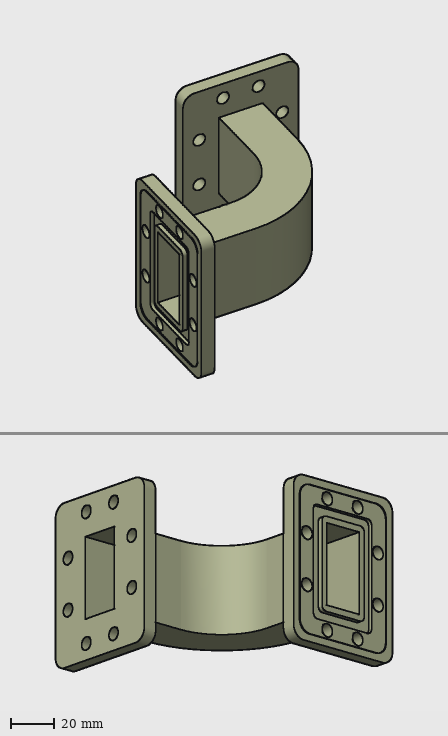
import cadquery as cq

overall_length = 111.0
flange_height = 81.0
flange_width = 61.8
flange_thickness = 7.1
flange_corner_radius = 6.2

bore_width = 20.2
bore_height = 40.4
wall_thickness = 1.61
tube_width = bore_width + 2 * wall_thickness
tube_height = bore_height + 2 * wall_thickness

axis_offset = overall_length - flange_width / 2
bend_radius = 39.9
straight_length = axis_offset - bend_radius

hole_diameter = 6.4
end_pair_spacing = 19.0
end_pair_height = 32.3
side_pair_spacing = 25.5
side_pair_offset = 22.2

recess_depth = 0.4
recess_size = (53.8, 73.2)
recess_corner_radius = 6.2
groove_depth = 2.5
groove_size = (36.4, 56.1)
rim_size = (26.4, 46.7)
groove_corner_radius = 2.7

sealing_face = cq.Plane(origin=(axis_offset, 0, 0), xDir=(-1, 0, 0), normal=(0, 1, 0))
plain_face = cq.Plane(origin=(0, axis_offset, 0), xDir=(0, 1, 0), normal=(1, 0, 0))


def rounded_block(plane, width, height, depth, corner_radius):
    """Plate with rounded corners, extruded from the plane into the part."""
    plate = cq.Workplane(plane).rect(width, height).extrude(depth)
    return plate.edges(cq.selectors.ParallelDirSelector(plane.zDir)).fillet(corner_radius)


def elbow(width, height):
    """Solid rectangular bar along the elbow centreline, from end face to end face."""
    path = (
        cq.Workplane("XY")
        .moveTo(axis_offset, 0)
        .lineTo(axis_offset, straight_length)
        .radiusArc((straight_length, axis_offset), -bend_radius)
        .lineTo(0, axis_offset)
    )
    return cq.Workplane(sealing_face).rect(width, height).sweep(path)


def bolt_holes(plane):
    """Eight through holes for one flange."""
    side_pairs = [
        (x * side_pair_offset, y * side_pair_spacing / 2) for x in (-1, 1) for y in (-1, 1)
    ]
    end_pairs = [
        (x * end_pair_spacing / 2, y * end_pair_height) for x in (-1, 1) for y in (-1, 1)
    ]
    return (
        cq.Workplane(plane)
        .pushPoints(side_pairs + end_pairs)
        .circle(hole_diameter / 2)
        .extrude(flange_thickness)
    )


def flange(plane):
    """Rounded rectangular flange plate with its bolt holes."""
    plate = rounded_block(
        plane, flange_width, flange_height, flange_thickness, flange_corner_radius
    )
    return plate.cut(bolt_holes(plane))


def ring(outer_size, inner_size, depth, outer_corner_radius):
    """Rounded rectangular ring around the bore, sunk from the sealing face."""
    outer = rounded_block(sealing_face, *outer_size, depth, outer_corner_radius)
    inner = rounded_block(sealing_face, *inner_size, depth, groove_corner_radius)
    return outer.cut(inner)


face_recess = ring(recess_size, rim_size, recess_depth, recess_corner_radius)

seal_groove = ring(groove_size, rim_size, groove_depth, groove_corner_radius)

result = (
    elbow(tube_width, tube_height)
    .union(flange(sealing_face))
    .union(flange(plain_face))
    .cut(elbow(bore_width, bore_height))
    .cut(face_recess)
    .cut(seal_groove)
)